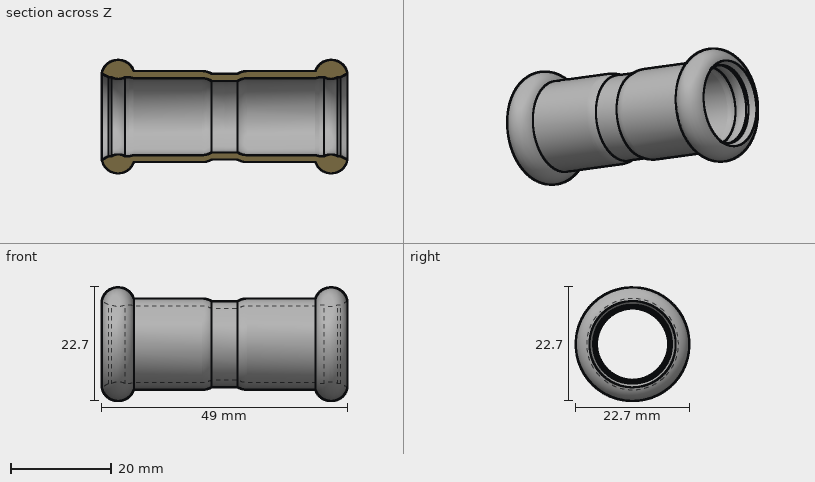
import cadquery as cq
import math

length = 49.0
mid_x = length / 2

socket_radius = 18.25 / 2
socket_bore_radius = 15.3 / 2
waist_radius = 17.2 / 2
waist_bore_radius = 14.2 / 2
shoulder_start_x = 20.0
shoulder_end_x = 21.9

mouth_radius = 17.2 / 2
lip_radius = 15.7 / 2
lip_start_x = 1.4
lip_end_x = 5.55
bore_start_x = 6.43
ridge_x = 3.32
ridge_half_width = 1.35
ridge_crest_radius = 15.0 / 2

bead_outer_radius = 22.71 / 2
bead_section_radius = 3.33
bead_ring_radius = bead_outer_radius - bead_section_radius


def bead_half_width(radius):
    """Half the axial width of the bead at a given distance from the tube axis."""
    return math.sqrt(bead_section_radius**2 - (radius - bead_ring_radius) ** 2)


def shoulder_mid_point(start_radius, end_radius):
    """Middle of the shoulder arc, which leaves the socket tangentially."""
    run = shoulder_end_x - shoulder_start_x
    drop = start_radius - end_radius
    arc_radius = (run**2 + drop**2) / (2 * drop)
    half_angle = math.asin(run / arc_radius) / 2
    x = shoulder_start_x + arc_radius * math.sin(half_angle)
    return (x, start_radius - arc_radius * (1 - math.cos(half_angle)))


def half_coupling():
    """One half of the coupling, from its open end to the middle of the waist."""
    bead_x = bead_half_width(mouth_radius)
    bead_end_x = bead_x + bead_half_width(socket_radius)
    profile = (
        cq.Workplane("XY")
        .moveTo(0, mouth_radius)
        .threePointArc((bead_x, bead_outer_radius), (bead_end_x, socket_radius))
        .lineTo(shoulder_start_x, socket_radius)
        .threePointArc(
            shoulder_mid_point(socket_radius, waist_radius),
            (shoulder_end_x, waist_radius),
        )
        .lineTo(mid_x, waist_radius)
        .lineTo(mid_x, waist_bore_radius)
        .lineTo(shoulder_end_x, waist_bore_radius)
        .threePointArc(
            shoulder_mid_point(socket_bore_radius, waist_bore_radius),
            (shoulder_start_x, socket_bore_radius),
        )
        .lineTo(bore_start_x, socket_bore_radius)
        .lineTo(lip_end_x, lip_radius)
        .lineTo(ridge_x + ridge_half_width, lip_radius)
        .threePointArc((ridge_x, ridge_crest_radius), (ridge_x - ridge_half_width, lip_radius))
        .lineTo(lip_start_x, lip_radius)
        .close()
    )
    return profile.revolve(360, (0, 0, 0), (1, 0, 0))


left_half = half_coupling().translate((-mid_x, 0, 0))
right_half = left_half.mirror("YZ")
result = left_half.union(right_half, clean=True)